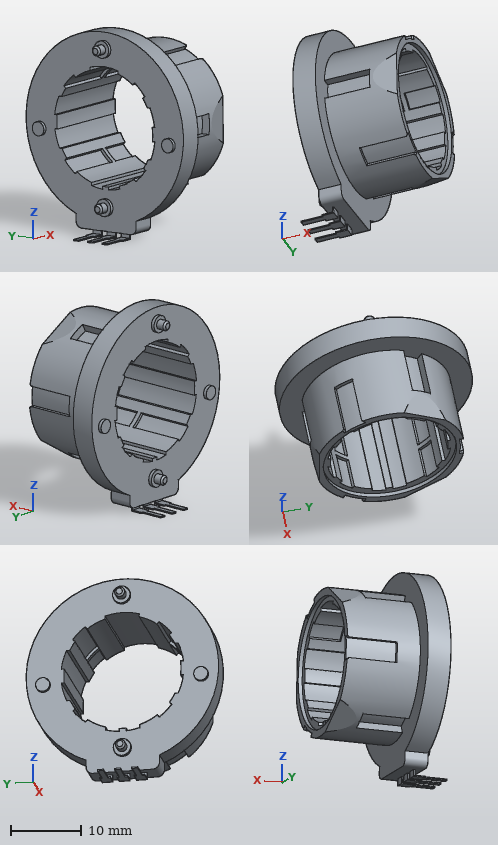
import cadquery as cq

TILT_ANGLE = 1.25

FLANGE_RADIUS = 14.0
FLANGE_THICKNESS = 3.5
TAB_WIDTH = 10.68
TAB_BOTTOM = -15.0
TAB_CORNER_RADIUS = 1.0

BARREL_RADIUS = 10.8
BARREL_END = 14.5

BORE_RADIUS = 8.5
GROOVE_RADIUS = 8.93
GROOVE_WIDTH = 4.95
BOTTOM_KEY_WIDTH = 1.03
SIDE_GROOVE_HEIGHT = 7.55
SIDE_KEY_HEIGHT = 2.08

MOUTH_RADIUS = 9.65
MOUTH_DEPTH = 0.6

TRACK_ANGLES = (45, 135, 225, 315)
TRACK_WIDTH = 2.5
TRACK_RADIUS = 8.95
BRIDGE_START = 8.5
BRIDGE_END = 9.23

WINDOW_ANGLES = (60, 180, 300)
SLOT_ANGLES = (0, 120, 240)
POCKET_WIDTH = 3.02
WINDOW_END = 10.5
WINDOW_FLOOR_RADIUS = 9.53
SLOT_START = 7.0
SLOT_FLOOR_RADIUS = 10.2
SLOT_LEAD_IN = 0.25
FLAT_START = 11.07
FLAT_DEPTH = 0.57

STUD_OFFSET = 11.5
COLLAR_RADIUS = 1.27
COLLAR_HEIGHT = 0.5
PIN_RADIUS = 0.72
PIN_HEIGHT = 2.0
PIN_CHAMFER = 0.27
FOOT_RADIUS = 1.03
FOOT_HEIGHT = 0.5
FOOT_DROP = 1.25

TERMINAL_PITCH = 2.5
TERMINAL_THICKNESS = 0.195
TERMINAL_BACK = 1.42
TERMINAL_TIP = -3.8
TERMINAL_SHOULDER = -0.42
TERMINAL_BOTTOM = -16.0
TERMINAL_WIDTH = 1.55
TERMINAL_TIP_WIDTH = 0.87


def box(x_min, x_max, y_min, y_max, z_min, z_max):
    size = (x_max - x_min, y_max - y_min, z_max - z_min)
    return cq.Workplane("XY").box(*size, centered=False).translate((x_min, y_min, z_min))


def cylinder(radius, x_min, x_max, y=0, z=0):
    return cq.Workplane("YZ", origin=(x_min, y, z)).circle(radius).extrude(x_max - x_min)


def around_axis(shape, angle):
    return shape.rotate((0, 0, 0), (1, 0, 0), angle)


def make_body():
    flange = cylinder(FLANGE_RADIUS, 0, FLANGE_THICKNESS)
    tab = box(0, FLANGE_THICKNESS, -TAB_WIDTH / 2, TAB_WIDTH / 2, TAB_BOTTOM, -GROOVE_RADIUS)
    tab = tab.edges("|X and <Z").fillet(TAB_CORNER_RADIUS)
    barrel = cylinder(BARREL_RADIUS, 0, BARREL_END)
    return flange.union(tab).union(barrel)


def bore_cutter():
    """Bore, crossed top-to-bottom and side-to-side grooves less their keys, and the mouth counterbore."""
    reach = FLANGE_RADIUS
    half_groove = GROOVE_WIDTH / 2
    half_key = BOTTOM_KEY_WIDTH / 2
    half_side = SIDE_GROOVE_HEIGHT / 2
    half_side_key = SIDE_KEY_HEIGHT / 2
    grooves = box(0, BARREL_END, -half_groove, half_groove, -reach, reach)
    grooves = grooves.union(box(0, BARREL_END, -reach, reach, -half_side, half_side))
    grooves = grooves.cut(box(0, BARREL_END, -half_key, half_key, -reach, 0))
    grooves = grooves.cut(box(0, BARREL_END, -reach, reach, -half_side_key, half_side_key))
    grooves = grooves.intersect(cylinder(GROOVE_RADIUS, 0, BARREL_END))
    mouth = cylinder(MOUTH_RADIUS, BARREL_END - MOUTH_DEPTH, BARREL_END)
    return cylinder(BORE_RADIUS, 0, BARREL_END).union(grooves).union(mouth)


def track_cutter(angle):
    cutter = cq.Workplane("XY")
    for start, end in ((0, BRIDGE_START), (BRIDGE_END, BARREL_END)):
        track = box(start, end, 0, FLANGE_RADIUS, -TRACK_WIDTH / 2, TRACK_WIDTH / 2)
        cutter = cutter.union(track.intersect(cylinder(TRACK_RADIUS, start, end)))
    return around_axis(cutter, angle)


def window_cutter(angle):
    half = POCKET_WIDTH / 2
    window = box(FLANGE_THICKNESS, WINDOW_END, 0, FLANGE_RADIUS, -half, half)
    window = window.cut(cylinder(WINDOW_FLOOR_RADIUS, 0, BARREL_END))
    return around_axis(window, angle)


def slot_cutter(angle):
    """Slot open at the barrel end, its mouth flared on both sides."""
    half = POCKET_WIDTH / 2
    flared_half = half + SLOT_LEAD_IN
    flare_start = BARREL_END - SLOT_LEAD_IN
    outline = [
        (SLOT_START, -half),
        (flare_start, -half),
        (BARREL_END, -flared_half),
        (BARREL_END, flared_half),
        (flare_start, half),
        (SLOT_START, half),
    ]
    slot = cq.Workplane("XZ").polyline(outline).close().extrude(-FLANGE_RADIUS)
    slot = slot.cut(cylinder(SLOT_FLOOR_RADIUS, 0, BARREL_END))
    return around_axis(slot, angle)


def flat_cutter(angle):
    """Wedge that shaves a sloping flat off the end of the barrel."""
    profile = [
        (FLAT_START, BARREL_RADIUS),
        (BARREL_END, BARREL_RADIUS - FLAT_DEPTH),
        (BARREL_END, BARREL_RADIUS),
    ]
    wedge = cq.Workplane("XY").polyline(profile).close().extrude(BARREL_RADIUS, both=True)
    return around_axis(wedge, angle)


def make_pin(z):
    collar = cylinder(COLLAR_RADIUS, -COLLAR_HEIGHT, 0, z=z)
    pin = cylinder(PIN_RADIUS, -PIN_HEIGHT, 0, z=z).faces("<X").chamfer(PIN_CHAMFER)
    return collar.union(pin)


def make_foot(y):
    return cylinder(FOOT_RADIUS, -FOOT_HEIGHT, 0, y=y, z=-FOOT_DROP)


def make_terminal(y):
    half = TERMINAL_WIDTH / 2
    half_tip = TERMINAL_TIP_WIDTH / 2
    leg_top = TERMINAL_BOTTOM + TERMINAL_THICKNESS
    leg_front = TERMINAL_BACK - TERMINAL_THICKNESS
    upright = box(leg_front, TERMINAL_BACK, -half, half, TERMINAL_BOTTOM, TAB_BOTTOM)
    foot = box(TERMINAL_SHOULDER, TERMINAL_BACK, -half, half, TERMINAL_BOTTOM, leg_top)
    tip = box(TERMINAL_TIP, TERMINAL_SHOULDER, -half_tip, half_tip, TERMINAL_BOTTOM, leg_top)
    return upright.union(foot).union(tip).translate((0, y, 0))


part = make_body().cut(bore_cutter())
for angle in TRACK_ANGLES:
    part = part.cut(track_cutter(angle))
for angle in WINDOW_ANGLES:
    part = part.cut(window_cutter(angle))
    part = part.cut(flat_cutter(angle))
for angle in SLOT_ANGLES:
    part = part.cut(slot_cutter(angle))

for side in (-1, 1):
    part = part.union(make_pin(side * STUD_OFFSET))
    part = part.union(make_foot(side * STUD_OFFSET))
for place in (-1, 0, 1):
    part = part.union(make_terminal(place * TERMINAL_PITCH))

result = part.rotate((0, 0, 0), (0, 1, 0), -TILT_ANGLE)